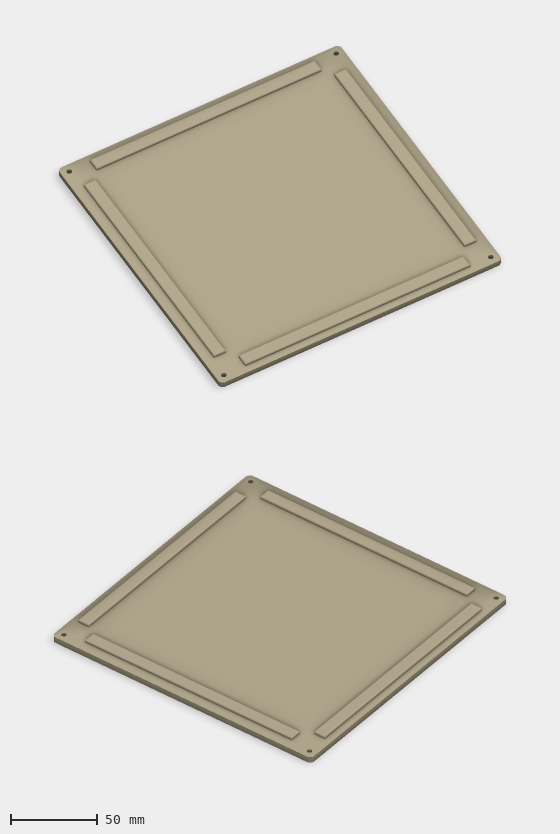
import cadquery as cq

plate_side = 188.0
plate_thickness = 4.0
corner_radius = 3.0

hole_diameter = 3.25
hole_edge_distance = 5.0

total_height = 6.0
strip_length = 150.0
strip_width = 8.0
strip_height = total_height - plate_thickness
strip_fillet = 1.0
side_strip_edge_gap = 4.5
end_strip_edge_gap = 6.5


def make_plate():
    """Square plate with rounded corners, bottom face on Z = 0."""
    plate = cq.Workplane("XY").box(plate_side, plate_side, plate_thickness, centered=(True, True, False))
    return plate.edges("|Z").fillet(corner_radius)


def cut_corner_holes(body):
    """Drill one through hole at each corner."""
    hole_spacing = plate_side - 2 * hole_edge_distance
    holes = (
        cq.Workplane("XY")
        .rect(hole_spacing, hole_spacing, forConstruction=True)
        .vertices()
        .circle(hole_diameter / 2)
        .extrude(plate_thickness)
    )
    return body.cut(holes)


def make_strip(size_x, size_y, center_x, center_y):
    """Bar standing on the plate, with its top edges rounded."""
    strip = cq.Workplane("XY").box(size_x, size_y, strip_height, centered=(True, True, False))
    strip = strip.faces(">Z").edges().fillet(strip_fillet)
    return strip.translate((center_x, center_y, plate_thickness))


def add_strips(body):
    """Add the four strips, mirrored about the plate center."""
    side_offset = plate_side / 2 - side_strip_edge_gap - strip_width / 2
    end_offset = plate_side / 2 - end_strip_edge_gap - strip_width / 2
    for direction in (-1, 1):
        body = body.union(make_strip(strip_width, strip_length, direction * side_offset, 0))
        body = body.union(make_strip(strip_length, strip_width, 0, direction * end_offset))
    return body


result = add_strips(cut_corner_holes(make_plate()))